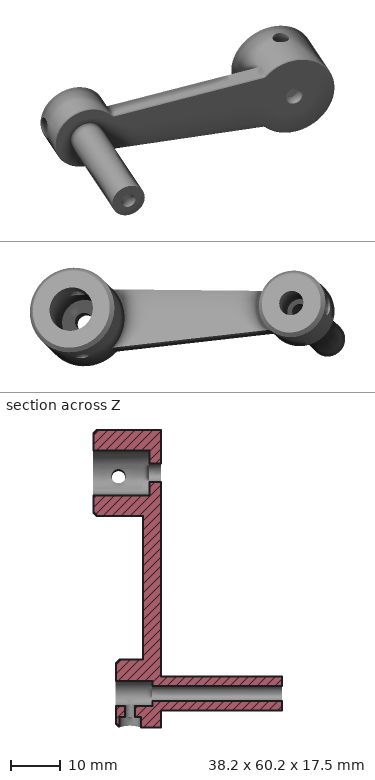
import cadquery as cq


shaft_hub_radius = 17.5 / 2
shaft_hub_length = 13.8
handle_hub_radius = 13.8 / 2
handle_hub_length = 9.2
overall_length = 60.15
hub_spacing = overall_length - shaft_hub_radius - handle_hub_radius
hub_chamfer = 0.8
back_chamfer = 0.2

arm_thickness = 3.8
arm_half_height_at_shaft = 6.45
arm_half_height_at_handle = 3.65
shaft_root_fillet = 0.8
handle_root_fillet = 1.0

handle_diameter = 7.0
handle_length = 24.4

shaft_bore_diameter = 8.95
shaft_bore_depth = 11.35
shaft_through_diameter = 3.6
handle_bore_diameter = 5.0
handle_bore_depth = 7.4
handle_through_diameter = 3.0

pin_x = -8.6
pin_y = -0.35
pin_top_diameter = 3.35
pin_bottom_diameter = 2.7
pin_tilt = 4.5
pin_overrun = 1.8

screw_x = -6.3
screw_recess_diameter = 4.2
screw_recess_depth = 2.05
screw_pilot_diameter = 2.0


def cylinder_x(diameter, start_x, end_x, y):
    """Solid cylinder parallel to X."""
    return cq.Workplane("YZ", origin=(start_x, y, 0)).circle(diameter / 2).extrude(end_x - start_x)


def hub(radius, length, y):
    """Hub with a chamfered front rim."""
    return cylinder_x(2 * radius, -length, 0, y).faces("<X").chamfer(hub_chamfer)


def stepped_bore(hub_length, bore_diameter, bore_depth, through_diameter, end_x, y):
    """Cutter for a wide bore from the front followed by a narrow through hole."""
    wide = cylinder_x(bore_diameter, -hub_length, bore_depth - hub_length, y)
    return wide.union(cylinder_x(through_diameter, -hub_length, end_x, y))


def arm():
    """Flat bar tapering from the shaft hub to the handle hub."""
    corners = [
        (0, arm_half_height_at_shaft),
        (-hub_spacing, arm_half_height_at_handle),
        (-hub_spacing, -arm_half_height_at_handle),
        (0, -arm_half_height_at_shaft),
    ]
    return cq.Workplane("YZ").polyline(corners).close().extrude(-arm_thickness)


def round_arm_roots(crank, min_y, max_y, radius):
    """Fillet the edges along X where the arm meets a hub between min_y and max_y."""
    box = cq.selectors.BoxSelector(
        (-arm_thickness, min_y, -shaft_hub_radius),
        (0, max_y, shaft_hub_radius),
    )
    return crank.edges("|X").edges(box).fillet(radius)


def cross_pin():
    """Cutter for the tapered pin hole through the shaft hub."""
    half_length = shaft_hub_radius + pin_overrun
    taper = (pin_top_diameter - pin_bottom_diameter) / (4 * shaft_hub_radius)
    middle_radius = (pin_top_diameter + pin_bottom_diameter) / 4
    cone = cq.Solid.makeCone(
        middle_radius - taper * half_length,
        middle_radius + taper * half_length,
        2 * half_length,
        pnt=cq.Vector(0, 0, -half_length),
    )
    return cq.Workplane(cone).rotate((0, 0, 0), (1, 0, 0), -pin_tilt).translate((pin_x, pin_y, 0))


def screw_hole():
    """Cutter for the screw recess and its pilot hole, entering from -Y."""
    outer_y = -hub_spacing - handle_hub_radius
    entry = cq.Workplane("XZ", origin=(screw_x, outer_y, 0))
    recess = entry.circle(screw_recess_diameter / 2).extrude(-screw_recess_depth)
    return recess.union(entry.circle(screw_pilot_diameter / 2).extrude(-handle_hub_radius))


body = hub(shaft_hub_radius, shaft_hub_length, 0)
body = body.union(hub(handle_hub_radius, handle_hub_length, -hub_spacing)).union(arm())
body = round_arm_roots(body, -shaft_hub_radius, -shaft_hub_radius / 2, shaft_root_fillet)
body = round_arm_roots(body, -hub_spacing, -hub_spacing + handle_hub_radius, handle_root_fillet)

body = body.faces(">X").edges().chamfer(back_chamfer)

body = body.union(cylinder_x(handle_diameter, 0, handle_length, -hub_spacing))

body = body.cut(stepped_bore(
    shaft_hub_length, shaft_bore_diameter, shaft_bore_depth, shaft_through_diameter, 0, 0))
body = body.cut(stepped_bore(
    handle_hub_length, handle_bore_diameter, handle_bore_depth, handle_through_diameter,
    handle_length, -hub_spacing))

result = body.cut(cross_pin()).cut(screw_hole())